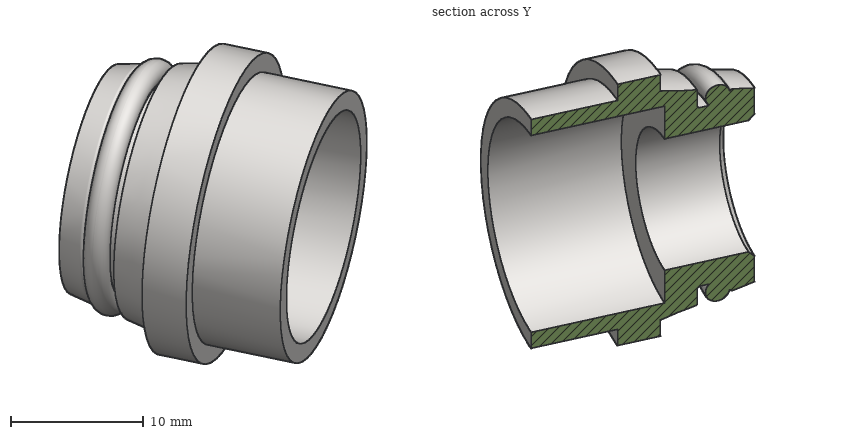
import cadquery as cq
import math

nose_length = 7.6
flange_length = 3.5
rear_length = 6.98
total_length = nose_length + flange_length + rear_length

flange_radius = 12.0
rear_radius = 10.5
bore_radius = 6.0
bore_chamfer = 0.5
rear_bore_radius = 9.0
rear_bore_start = 7.3

cone_half_angle = 12.0
nose_tip_radius = rear_radius - nose_length * math.tan(math.radians(cone_half_angle))

groove_start = 2.0
groove_width = 2.65
groove_floor_radius = 8.2
groove_rounding = 0.2
ring_section_radius = 1.0
ring_outer_radius = 9.9
ring_center_radius = ring_outer_radius - ring_section_radius
ring_overlap = 0.005
ring_root_radius = 7.45
ring_center_x = groove_start - ring_overlap + ring_section_radius


def revolve_about_x(profile):
    return profile.revolve(360, (0, 0, 0), (1, 0, 0))


def make_body():
    """Tapered nose with a round-edged seal groove, flange and rear spigot."""
    flange_end = nose_length + flange_length
    blank = revolve_about_x(
        cq.Workplane("XY").polyline(
            [
                (0, 0),
                (0, nose_tip_radius),
                (nose_length, rear_radius),
                (nose_length, flange_radius),
                (flange_end, flange_radius),
                (flange_end, rear_radius),
                (total_length, rear_radius),
                (total_length, 0),
            ]
        ).close()
    )
    groove = (
        cq.Workplane("YZ", origin=(groove_start, 0, 0))
        .circle(flange_radius)
        .circle(groove_floor_radius)
        .extrude(groove_width)
    )
    groove_end = groove_start + groove_width
    margin = groove_rounding / 2
    groove_edges = cq.selectors.BoxSelector(
        (groove_start - margin, -flange_radius, -flange_radius),
        (groove_end + margin, flange_radius, flange_radius),
    )
    return blank.cut(groove).edges("%CIRCLE").edges(groove_edges).fillet(groove_rounding)


def make_o_ring():
    """O-ring solid with the body, with the gap beneath it filled."""

    def point_on_ring(x_offset, y_offset):
        return (ring_center_x + x_offset, ring_center_radius + y_offset)

    front_offset = groove_start - ring_center_x
    wall_contact = point_on_ring(front_offset, math.sqrt(ring_section_radius**2 - front_offset**2))
    floor_offset = groove_floor_radius - ring_center_radius
    floor_contact = point_on_ring(math.sqrt(ring_section_radius**2 - floor_offset**2), floor_offset)
    diagonal = ring_section_radius * math.sqrt(0.5)

    return revolve_about_x(
        cq.Workplane("XY")
        .moveTo(groove_start, ring_root_radius)
        .lineTo(*wall_contact)
        .threePointArc(point_on_ring(-diagonal, diagonal), point_on_ring(0, ring_section_radius))
        .threePointArc(point_on_ring(ring_section_radius, 0), floor_contact)
        .lineTo(floor_contact[0], ring_root_radius)
        .close()
    )


def make_bore():
    """Through bore, chamfered 45 degrees at the nose and stepped wider at the rear."""
    mouth_radius = bore_radius + bore_chamfer
    return revolve_about_x(
        cq.Workplane("XY").polyline(
            [
                (0, 0),
                (0, mouth_radius),
                (bore_chamfer, bore_radius),
                (rear_bore_start, bore_radius),
                (rear_bore_start, rear_bore_radius),
                (total_length, rear_bore_radius),
                (total_length, 0),
            ]
        ).close()
    )


result = make_body().union(make_o_ring()).cut(make_bore())